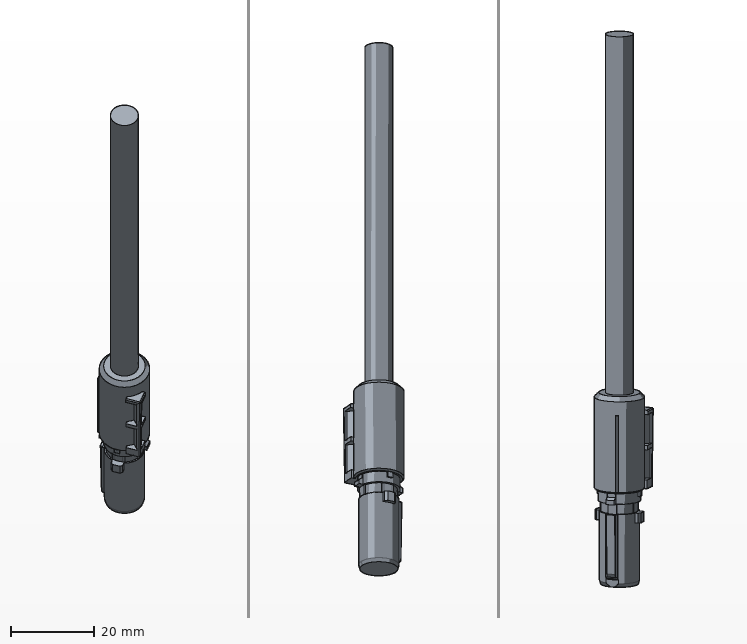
import cadquery as cq

total_height = 135.2
tip_chamfer_height = 1.0
barrel_top = 18.0
neck_top = 20.5
body_bottom = 23.3
body_top = 47.0
body_top_chamfer = 1.1
body_bottom_chamfer = 0.4

cable_radius = 3.4
body_radius = 6.1
collar_radius = 5.1
neck_radius = 4.5
barrel_radius = 4.9
tip_radius = 4.6

lug_reach_top = 6.4
lug_draft = 0.2
lug_reach_bottom = lug_reach_top - lug_draft
lug_inner = 2.6
lug_top = 42.6
lug_post_size = 0.8
lug_web_thickness = 0.7
lug_edge_chamfer = 0.3
lug_plates = [(body_bottom, 2.2), (32.9, 1.1), (41.5, 1.1)]

strip_width = 0.7
strip_offset = -1.8

key_foot = 1.9
key_bottom = 2.6
key_base_width = 3.0
key_base_reach = 5.3
key_cap_width = 2.2
key_cap_reach_bottom = 5.5
key_cap_reach_top = 5.8
key_cap_lead_in = 0.8
tip_flat_reach = 4.6

pin_width = 3.0
pin_height = 2.5
pin_reach = 6.0
pin_chamfer = 0.5

neck_rib_width = 3.2
neck_rib_reach = 4.3
side_rib_width = 2.2
side_rib_reach = 4.7
collar_rib_reach = 5.3
stop_width = 1.4
stop_bottom = 21.9
stop_reach = 5.5
ear_reach = 6.1
ear_slope_start = 21.6
ear_top = 22.3


def block(x_range, y_range, z_range):
    """Box between the given limits along each axis."""
    sizes = [high - low for low, high in (x_range, y_range, z_range)]
    corner = (x_range[0], y_range[0], z_range[0])
    return cq.Workplane("XY").box(*sizes, centered=False).translate(corner)


def radial_block(reach, width, bottom, top):
    """Bar running from the axis out to +X."""
    return block((0, reach), (-width / 2, width / 2), (bottom, top))


def upright_plate(profile, thickness):
    """Plate with the given outline in X and Z, centred on Y = 0."""
    return cq.Workplane("XZ").polyline(profile).close().extrude(thickness / 2, both=True)


def turned(shape, angle):
    """Copy of a shape turned about the vertical axis."""
    return shape.rotate((0, 0, 0), (0, 0, 1), angle)


def turned_core():
    profile = [
        (0, 0),
        (tip_radius, 0),
        (barrel_radius, tip_chamfer_height),
        (barrel_radius, barrel_top),
        (neck_radius, barrel_top),
        (neck_radius, neck_top),
        (collar_radius, neck_top),
        (collar_radius, body_bottom),
        (body_radius - body_bottom_chamfer, body_bottom),
        (body_radius, body_bottom + body_bottom_chamfer),
        (body_radius, body_top - body_top_chamfer),
        (body_radius - body_top_chamfer, body_top),
        (cable_radius, body_top),
        (cable_radius, total_height),
        (0, total_height),
    ]
    return cq.Workplane("XZ").polyline(profile).close().revolve(360, (0, 0), (0, 1))


def corner_lug():
    """Three plates, a corner post and a diagonal web, trimmed to a drafted envelope."""
    plates_and_post = block(
        (lug_reach_bottom - lug_post_size, lug_reach_top),
        (-lug_reach_top, lug_post_size - lug_reach_bottom),
        (body_bottom, lug_top),
    )
    for bottom, thickness in lug_plates:
        plate = block(
            (lug_inner, lug_reach_top), (-lug_reach_top, -lug_inner), (bottom, bottom + thickness)
        )
        plates_and_post = plates_and_post.union(plate)
    web_reach = lug_reach_bottom * 2**0.5
    web = turned(radial_block(web_reach, lug_web_thickness, body_bottom, lug_top), -45)
    envelope = (
        cq.Workplane("XY", origin=(0, 0, body_bottom))
        .rect(2 * lug_reach_bottom, 2 * lug_reach_bottom)
        .workplane(offset=lug_top - body_bottom)
        .rect(2 * lug_reach_top, 2 * lug_reach_top)
        .loft()
        .edges("not <Z")
        .chamfer(lug_edge_chamfer)
    )
    return plates_and_post.union(web).intersect(envelope)


def body_strip():
    y_range = (strip_offset - strip_width / 2, strip_offset + strip_width / 2)
    return block((-body_radius, 0), y_range, (body_bottom + body_bottom_chamfer, lug_top))


def barrel_key():
    """Wide base with a narrower cap that leans inward toward the tip."""
    base_profile = [
        (0, key_foot),
        (tip_flat_reach, key_foot),
        (key_base_reach, key_bottom),
        (key_base_reach, barrel_top),
        (0, barrel_top),
    ]
    cap_profile = [
        (0, key_bottom),
        (key_base_reach, key_bottom),
        (key_cap_reach_bottom, key_bottom + key_cap_lead_in),
        (key_cap_reach_top, barrel_top),
        (0, barrel_top),
    ]
    base = upright_plate(base_profile, key_base_width)
    cap = upright_plate(cap_profile, key_cap_width)
    return turned(base.union(cap), 180)


def tip_flat():
    """Material removed below the key to leave a flat on the barrel."""
    return block(
        (-2 * barrel_radius, -tip_flat_reach), (-barrel_radius, barrel_radius), (0, key_foot)
    )


def latch_pin():
    pin = radial_block(pin_reach, pin_width, barrel_top - pin_height, barrel_top)
    return pin.edges(">X and |Z").chamfer(pin_chamfer)


def ear():
    """Stop ear on the collar with a sloping top."""
    profile = [
        (0, neck_top),
        (ear_reach, neck_top),
        (ear_reach, ear_slope_start),
        (collar_radius, ear_top),
        (0, ear_top),
    ]
    return upright_plate(profile, side_rib_width)


result = turned_core().union(corner_lug()).union(body_strip()).union(barrel_key())
result = result.cut(tip_flat())
for side in (90, 270):
    neck_rib = radial_block(neck_rib_reach, neck_rib_width, barrel_top, neck_top)
    stop = radial_block(stop_reach, stop_width, stop_bottom, body_bottom)
    for feature in (latch_pin(), neck_rib, stop):
        result = result.union(turned(feature, side))
for side in (0, 180):
    side_rib = radial_block(side_rib_reach, side_rib_width, barrel_top, neck_top)
    collar_rib = radial_block(collar_rib_reach, side_rib_width, neck_top, body_bottom)
    for feature in (side_rib, collar_rib, ear()):
        result = result.union(turned(feature, side))